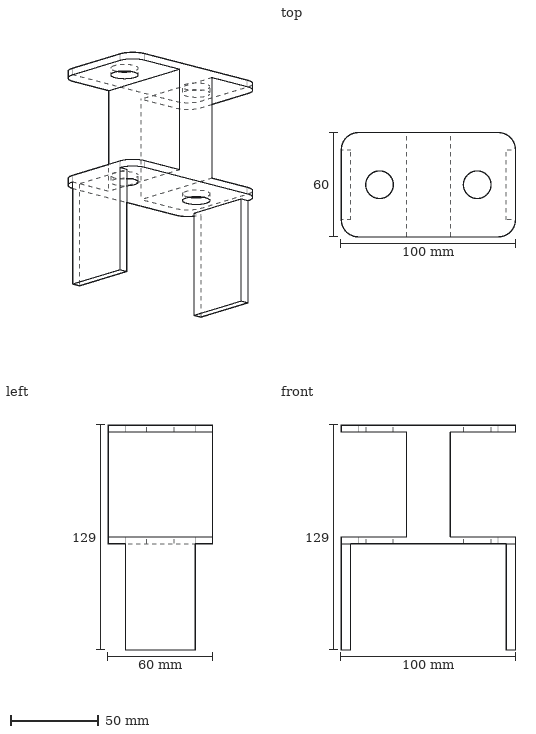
import cadquery as cq

length = 100.0
width = 60.0
height = 129.0

plate_thickness = 4.0
hole_diameter = 15.7
hole_spacing = 56.0

post_length = 25.3
post_height = 60.0

leg_thickness = 5.4
leg_width = 40.0
corner_radius = (width - leg_width) / 2

upper_plate_bottom = height - plate_thickness
lower_plate_top = upper_plate_bottom - post_height
lower_plate_bottom = lower_plate_top - plate_thickness


def block(size_x, size_y, size_z, center_x, bottom):
    """Box centred across the width and standing on the given level."""
    box = cq.Workplane("XY").box(size_x, size_y, size_z, centered=(True, True, False))
    return box.translate((center_x, 0, bottom))


def plate(bottom):
    """Rounded plate with a through hole on each side of the post."""
    return (
        block(length, width, plate_thickness, 0, bottom)
        .edges("|Z")
        .fillet(corner_radius)
        .faces(">Z")
        .workplane(origin=(0, 0, bottom + plate_thickness))
        .pushPoints([(-hole_spacing / 2, 0), (hole_spacing / 2, 0)])
        .hole(hole_diameter)
    )


result = plate(lower_plate_bottom).union(plate(upper_plate_bottom))
result = result.union(block(post_length, width, post_height, 0, lower_plate_top))

leg_offset = (length - leg_thickness) / 2
for leg_x in (-leg_offset, leg_offset):
    result = result.union(block(leg_thickness, leg_width, lower_plate_bottom, leg_x, 0))